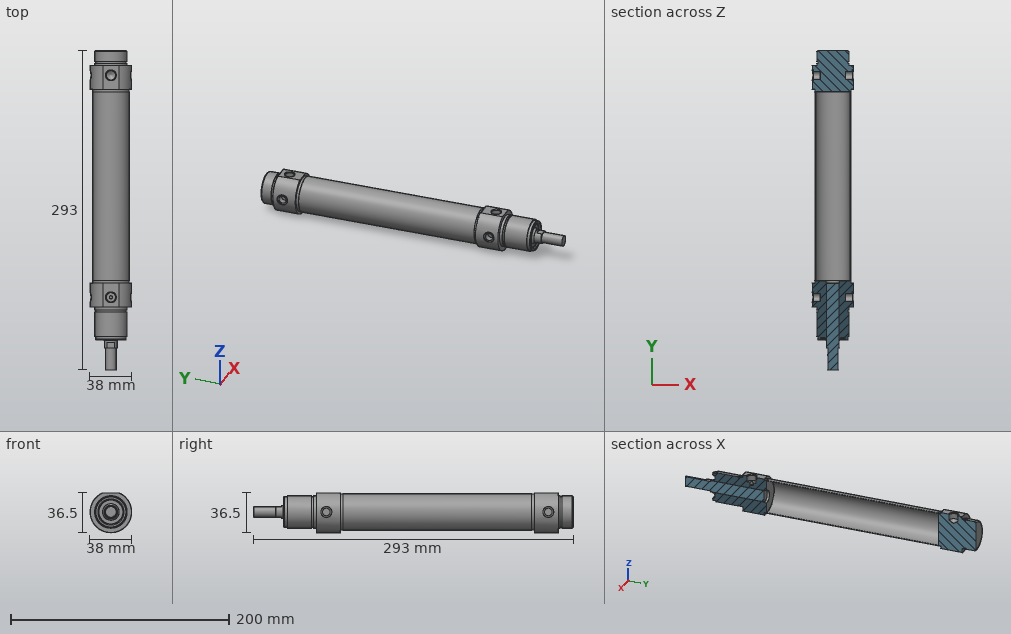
import cadquery as cq

LENGTH = 293.0
OVERCUT = 3.0

ROD_D = 12.0
ROD_SHOULDER_Y = 20.2
ROD_SHOULDER_CHAMFER = 0.3
ROD_TIP_D = 10.0
ROD_TIP_FACE_D = 8.0
ROD_TIP_BEVEL = 0.3
FLATS_SPACING = 10.0
FLATS_END_Y = 25.5

COLLAR_D = 38.0
COLLAR_FLAT_Z = 17.5
COLLAR_LENGTH = 22.0
FRONT_COLLAR_Y = 57.7
REAR_COLLAR_Y = 257.3
FRONT_COLLAR_END_Y = FRONT_COLLAR_Y + COLLAR_LENGTH
REAR_COLLAR_END_Y = REAR_COLLAR_Y + COLLAR_LENGTH

NECK_D = 33.5
NECK_LENGTH = 2.3

TUBE_D = 33.7
TUBE_WALL = 1.2
TUBE_START_Y = FRONT_COLLAR_END_Y + NECK_LENGTH
TUBE_END_Y = REAR_COLLAR_Y - NECK_LENGTH

BOSS_D = 30.0
GROOVE_D = 28.0
GROOVE_WIDTH = 1.8
FRONT_GROOVE_Y = 53.3
REAR_GROOVE_Y = 281.0
REAR_CHAMFER = 1.2

NOSE_Y = 27.5
NOSE_D = 28.0
NOSE_LENGTH = 3.5
NOSE_FACE_D = 27.5
NOSE_BEVEL = 1.0
MOUTH_D = 24.0
RECESS_D = 22.0
MOUTH_DEPTH = 1.2
RECESS_DEPTH = 2.0
SEAL_SEAT_D = 15.2
LIP_D = 12.3
LIP_Y = 27.2

PORT_D = 8.5
PORT_MOUTH_D = 10.0
PORT_CHAMFER = (PORT_MOUTH_D - PORT_D) / 2
PORT_OFFSET = 9.0
PORT_FLOOR_Z = 11.7
BLEED_D = 3.0
BLEED_DEPTH = 3.0
DRILL_POINT_DEPTH = 2.5

PIVOT_D = 7.0
PIVOT_MOUTH_D = 10.0
PIVOT_STEP_X = 18.0
PIVOT_FLOOR_X = 11.7


def revolved(points):
    """Solid made by turning an outline of (radius, y) points about the Y axis."""
    return cq.Workplane("XY").polyline(points).close().revolve(360, (0, 0, 0), (0, 1, 0))


def disc(diameter, start, end):
    """Cylinder along Y."""
    return cq.Workplane("XZ", origin=(0, start, 0)).circle(diameter / 2).extrude(start - end)


def ring(outer_d, inner_d, start, end):
    """Hollow cylinder along Y."""
    return disc(outer_d, start, end).cut(disc(inner_d, start, end))


def make_rod():
    tip = revolved([
        (0, 0),
        (ROD_TIP_FACE_D / 2, 0),
        (ROD_TIP_D / 2, ROD_TIP_BEVEL),
        (ROD_TIP_D / 2, ROD_SHOULDER_Y),
        (0, ROD_SHOULDER_Y),
    ])
    shank = disc(ROD_D, ROD_SHOULDER_Y, FRONT_COLLAR_END_Y).faces("<Y").chamfer(ROD_SHOULDER_CHAMFER)
    flats_length = FLATS_END_Y - ROD_SHOULDER_Y
    between_flats = cq.Workplane("XY").box(ROD_D, flats_length, FLATS_SPACING)
    flats_cut = cq.Workplane("XY").box(ROD_D, flats_length, ROD_D).cut(between_flats)
    shank = shank.cut(flats_cut.translate((0, ROD_SHOULDER_Y + flats_length / 2, 0)))
    return tip.union(shank)


def make_tube():
    return ring(TUBE_D, TUBE_D - 2 * TUBE_WALL, TUBE_START_Y, TUBE_END_Y)


def make_collar(start):
    """Round collar with a flat on top."""
    above_flat = cq.Workplane("XY", origin=(0, start + COLLAR_LENGTH / 2, COLLAR_FLAT_Z))
    above_flat = above_flat.rect(COLLAR_D, COLLAR_LENGTH).extrude(COLLAR_D)
    return disc(COLLAR_D, start, start + COLLAR_LENGTH).cut(above_flat)


def groove_cut(start):
    return ring(BOSS_D + OVERCUT, GROOVE_D, start, start + GROOVE_WIDTH)


def port_cut(y):
    """Chamfered blind hole that opens on the collar flat."""
    bore = cq.Workplane("XY", origin=(0, y, PORT_FLOOR_Z)).circle(PORT_D / 2)
    bore = bore.extrude(COLLAR_FLAT_Z - PORT_FLOOR_Z)
    mouth = cq.Workplane("XY", origin=(0, y, COLLAR_FLAT_Z)).circle(PORT_MOUTH_D / 2)
    mouth = mouth.workplane(offset=-PORT_CHAMFER).circle(PORT_D / 2).loft()
    return bore.union(mouth)


def drill_point_cut(y):
    """Cone below the floor of a port."""
    half = cq.Workplane("XZ", origin=(0, y, PORT_FLOOR_Z))
    half = half.polyline([(0, 0), (PORT_D / 2, 0), (0, -DRILL_POINT_DEPTH)]).close()
    return half.revolve(360, (0, 0, 0), (0, 1, 0))


def bleed_cut(y):
    """Small hole in the floor of a port."""
    return cq.Workplane("XY", origin=(0, y, PORT_FLOOR_Z)).circle(BLEED_D / 2).extrude(-BLEED_DEPTH)


def pivot_cuts(y):
    """Counterbored blind holes in both sides of a collar."""
    profile = [
        (0, PIVOT_FLOOR_X),
        (PIVOT_D / 2, PIVOT_FLOOR_X),
        (PIVOT_D / 2, PIVOT_STEP_X),
        (PIVOT_MOUTH_D / 2, PIVOT_STEP_X),
        (PIVOT_MOUTH_D / 2, COLLAR_D / 2 + OVERCUT),
        (0, COLLAR_D / 2 + OVERCUT),
    ]
    hole = revolved(profile).rotate((0, 0, 0), (0, 0, 1), 90).translate((0, y, 0))
    return hole.union(hole.mirror("YZ"))


def make_front_cover():
    nose_end = NOSE_Y + NOSE_LENGTH
    cover = make_collar(FRONT_COLLAR_Y)
    cover = cover.union(disc(NECK_D, FRONT_COLLAR_END_Y, TUBE_START_Y))
    cover = cover.union(disc(BOSS_D, nose_end, FRONT_COLLAR_Y))
    cover = cover.union(revolved([
        (0, NOSE_Y),
        (NOSE_FACE_D / 2, NOSE_Y),
        (NOSE_D / 2, NOSE_Y + NOSE_BEVEL),
        (NOSE_D / 2, nose_end),
        (0, nose_end),
    ]))
    cover = cover.cut(groove_cut(FRONT_GROOVE_Y))

    floor_y = NOSE_Y + RECESS_DEPTH
    cover = cover.cut(revolved([
        (0, NOSE_Y),
        (MOUTH_D / 2, NOSE_Y),
        (RECESS_D / 2, NOSE_Y + MOUTH_DEPTH),
        (RECESS_D / 2, floor_y),
        (0, floor_y),
    ]))
    cover = cover.union(revolved([
        (0, LIP_Y),
        (LIP_D / 2, LIP_Y),
        (SEAL_SEAT_D / 2, floor_y),
        (0, floor_y),
    ]))
    cover = cover.cut(disc(ROD_D, LIP_Y, TUBE_START_Y))

    port_y = FRONT_COLLAR_Y + PORT_OFFSET
    return cover.cut(port_cut(port_y)).cut(bleed_cut(port_y)).cut(pivot_cuts(port_y))


def make_rear_cover():
    cover = make_collar(REAR_COLLAR_Y)
    cover = cover.union(disc(NECK_D, TUBE_END_Y, REAR_COLLAR_Y))
    cover = cover.union(disc(BOSS_D, REAR_COLLAR_END_Y, LENGTH).faces(">Y").chamfer(REAR_CHAMFER))
    cover = cover.cut(groove_cut(REAR_GROOVE_Y))

    port_y = REAR_COLLAR_END_Y - PORT_OFFSET
    return cover.cut(port_cut(port_y)).cut(drill_point_cut(port_y)).cut(pivot_cuts(port_y))


rod = make_rod()
tube = make_tube()
front_cover = make_front_cover()
rear_cover = make_rear_cover()

result = cq.Compound.makeCompound([rod.val(), tube.val(), front_cover.val(), rear_cover.val()])